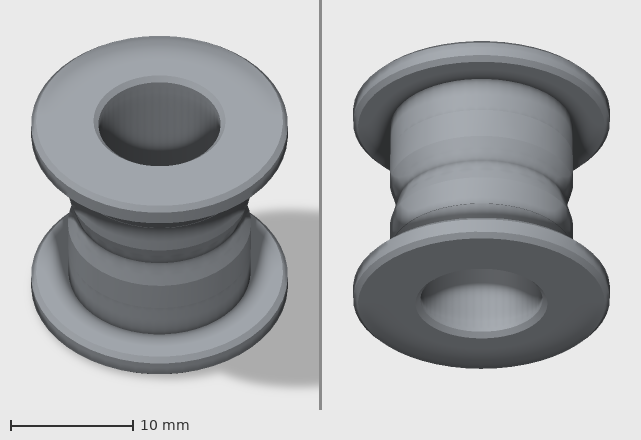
import cadquery as cq

flange_diameter = 21.0
flange_thickness = 2.0
bore_diameter = 10.0
seat_diameter = 14.9
land_diameter = 15.0
nose_diameter = 13.8
edge_chamfer = 0.4

half_height = 9.502
seat_length = 3.0
taper_length = 2.0

flange_inner_z = half_height - flange_thickness
seat_end_z = flange_inner_z - seat_length


def flanged_half():
    """Upper half: flange, relieved seat, land and tapered nose around a bore."""
    flange_radius = flange_diameter / 2
    bore_radius = bore_diameter / 2
    profile = [
        (bore_radius, 0),
        (nose_diameter / 2, 0),
        (land_diameter / 2, taper_length),
        (land_diameter / 2, seat_end_z),
        (seat_diameter / 2, seat_end_z),
        (seat_diameter / 2, flange_inner_z),
        (flange_radius - edge_chamfer, flange_inner_z),
        (flange_radius, flange_inner_z + edge_chamfer),
        (flange_radius, half_height - edge_chamfer),
        (flange_radius - edge_chamfer, half_height),
        (bore_radius + edge_chamfer, half_height),
        (bore_radius, half_height - edge_chamfer),
    ]
    return cq.Workplane("XZ").polyline(profile).close().revolve(360, (0, 0), (0, 1))


halves = []
for turn in (0, 180):
    half = flanged_half().rotate((0, 0, 0), (1, 0, 0), turn)
    halves.append(half.val())

result = cq.Compound.makeCompound(halves)